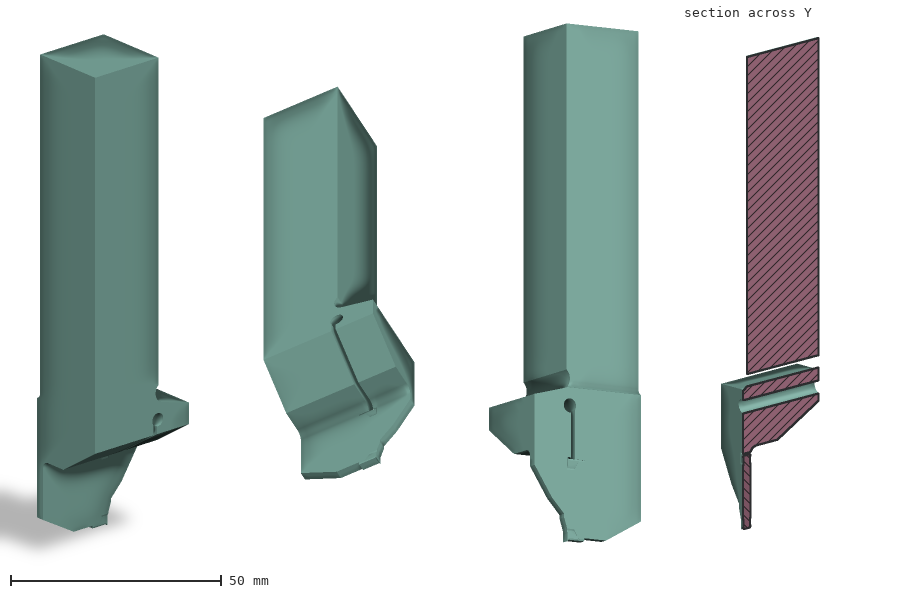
import cadquery as cq
import math


tool_length = 125.0
shank_size = 19.9
blade_offset = 1.1
tool_width = shank_size + blade_offset
head_depth = 29.4
head_top_z = 34.6
head_slope = math.radians(15)
head_back_bottom_z = 17.5

relief_radius = 2.8
relief_start_y = 21.0

blade_thickness = 2.1
blade_bottom_z = 1.1
blade_root_z = 21.6
blade_root_radius = 1.8
nose_chamfer_y = 9.6
nose_chamfer_z = 6.6
taper_break_y = 24.6
taper_break_z = 10.1
taper_end_z = 6.5
body_chamfer_x = 9.5
body_chamfer_z = 29.1

step_z = 38.8
step_radius = 1.8

slot_front_y = 18.2
slot_width = 1.1
slot_hole_y = 19.6
slot_hole_z = 32.8
slot_hole_radius = 1.69

insert_length = 20.2
insert_front_y = 15.6
insert_back_y = 21.2
insert_flat_z = 5.6
rake_y = 20.5
rake_z = 3.4
tip_y = 20.2
tip_land_z = 1.9
tip_heel_y = 20.0
end_clearance = 0.4

end_bevel_height = 0.4
end_bevel_depth = 0.1
side_relief_depth = 0.1
side_relief_z = 2.6
side_relief_wall = 0.4
side_relief_inner_y = 18.4
side_relief_outer_y = 16.9


def mirror_ends(half_outline):
    """Repeat (y, z) points of the lower insert half on the upper half, in reverse order."""
    return half_outline + [(y, insert_length - z) for y, z in reversed(half_outline)]


def prism(points, x_start, x_end):
    """Extrude a closed (y, z) outline along X."""
    return cq.Workplane("YZ").workplane(offset=x_start).polyline(points).close().extrude(x_end - x_start)


def make_holder_side_shape():
    """Holder as seen along X: shank, relief arc, sloped head and tapered nose."""
    slope_end_z = head_top_z + (head_depth - relief_start_y) * math.tan(head_slope)
    arc_y = relief_start_y + relief_radius * math.sin(head_slope)
    arc_z = slope_end_z + relief_radius * math.cos(head_slope)
    arc_end_z = arc_z + math.sqrt(relief_radius**2 - (arc_y - shank_size) ** 2)
    return (
        cq.Workplane("YZ")
        .moveTo(0, tool_length)
        .lineTo(shank_size, tool_length)
        .lineTo(shank_size, arc_end_z)
        .threePointArc((arc_y - relief_radius, arc_z), (relief_start_y, slope_end_z))
        .lineTo(head_depth, head_top_z)
        .lineTo(head_depth, head_back_bottom_z)
        .lineTo(taper_break_y, taper_break_z)
        .lineTo(insert_back_y, taper_end_z)
        .lineTo(insert_front_y, blade_bottom_z)
        .lineTo(nose_chamfer_y, blade_bottom_z)
        .lineTo(0, nose_chamfer_z)
        .close()
        .extrude(tool_width)
    )


def make_holder_front_shape():
    """Holder as seen along Y: stepped shank, chamfered body and thin blade."""
    step_arc_x = blade_offset - step_radius
    step_end_z = step_z - math.sqrt(step_radius**2 - step_arc_x**2)
    half_angle = math.atan2(step_z - step_end_z, -step_arc_x) / 2
    step_mid = (
        step_arc_x + step_radius * math.cos(half_angle),
        step_z - step_radius * math.sin(half_angle),
    )
    root_x = blade_thickness + blade_root_radius
    root_z = blade_root_z - blade_root_radius
    root_mid = (
        root_x - blade_root_radius * math.sqrt(0.5),
        root_z + blade_root_radius * math.sqrt(0.5),
    )
    return (
        cq.Workplane("XZ")
        .moveTo(blade_offset, tool_length)
        .lineTo(blade_offset, step_z)
        .threePointArc(step_mid, (0, step_end_z))
        .lineTo(0, 0)
        .lineTo(blade_thickness, 0)
        .lineTo(blade_thickness, root_z)
        .threePointArc(root_mid, (root_x, blade_root_z))
        .lineTo(body_chamfer_x, blade_root_z)
        .lineTo(tool_width, body_chamfer_z)
        .lineTo(tool_width, tool_length)
        .close()
        .extrude(-head_depth)
    )


def make_clamping_slot():
    """Slot from the insert seat up to a round stress-relief hole, right through the holder."""
    slot_bottom_z = insert_length / 2
    slot = cq.Workplane("XY").box(
        tool_width, slot_width, slot_hole_z - slot_bottom_z, centered=False
    ).translate((0, slot_front_y, slot_bottom_z))
    hole = cq.Workplane("YZ").center(slot_hole_y, slot_hole_z).circle(slot_hole_radius).extrude(tool_width)
    return slot.union(hole)


def make_insert_seat():
    """Seat that follows the insert back and has a square upper end behind the tip."""
    upper_end_z = insert_length - end_clearance
    seat_outline = [
        (insert_front_y, 0),
        (tip_y, 0),
        (tip_y, tip_land_z),
        (rake_y, rake_z),
        (insert_back_y, insert_flat_z),
        (insert_back_y, insert_length - insert_flat_z),
        (rake_y, insert_length - rake_z),
        (rake_y, insert_length),
        (slot_front_y, insert_length),
        (slot_front_y, upper_end_z),
        (insert_front_y, upper_end_z),
    ]
    return prism(seat_outline, 0, blade_thickness)


def make_holder():
    holder = make_holder_side_shape().intersect(make_holder_front_shape())
    return holder.cut(make_clamping_slot()).cut(make_insert_seat()).solids()


def make_side_relief():
    """Cutter for one lower corner: a wedge that deepens away from the cutting end."""
    relief_top_z = side_relief_z + side_relief_wall
    slanted_floor = (
        cq.Workplane("XZ")
        .moveTo(0, end_clearance)
        .lineTo(side_relief_depth, side_relief_z)
        .lineTo(0, relief_top_z)
        .close()
        .extrude(-head_depth)
    )
    ground_area = [
        (side_relief_outer_y, end_clearance),
        (side_relief_inner_y, side_relief_z),
        (side_relief_inner_y, relief_top_z),
        (head_depth, relief_top_z),
        (head_depth, end_clearance),
    ]
    return slanted_floor.intersect(prism(ground_area, 0, blade_thickness))


def make_end_bevel():
    """Cutter that bevels the lower edge between the end face and one side."""
    return (
        cq.Workplane("XZ", origin=(0, insert_front_y, 0))
        .moveTo(0, end_clearance)
        .lineTo(end_bevel_depth, end_clearance)
        .lineTo(0, end_clearance + end_bevel_height)
        .close()
        .extrude(insert_front_y - tip_heel_y)
    )


def make_insert():
    """Double-ended insert, the same at both ends and on both sides."""
    half_outline = [
        (insert_front_y, end_clearance),
        (tip_heel_y, end_clearance),
        (tip_y, 0),
        (tip_y, tip_land_z),
        (rake_y, rake_z),
        (insert_back_y, insert_flat_z),
    ]
    insert = prism(mirror_ends(half_outline), 0, blade_thickness)
    insert_middle = (blade_thickness / 2, 0, insert_length / 2)
    for cutter in (make_side_relief(), make_end_bevel()):
        both_sides = [cutter, cutter.mirror("YZ", insert_middle)]
        for side_cutter in both_sides:
            insert = insert.cut(side_cutter).cut(side_cutter.mirror("XY", insert_middle))
    return insert.solids()


holder = make_holder()
insert = make_insert()

result = cq.Compound.makeCompound([holder.val(), insert.val()])